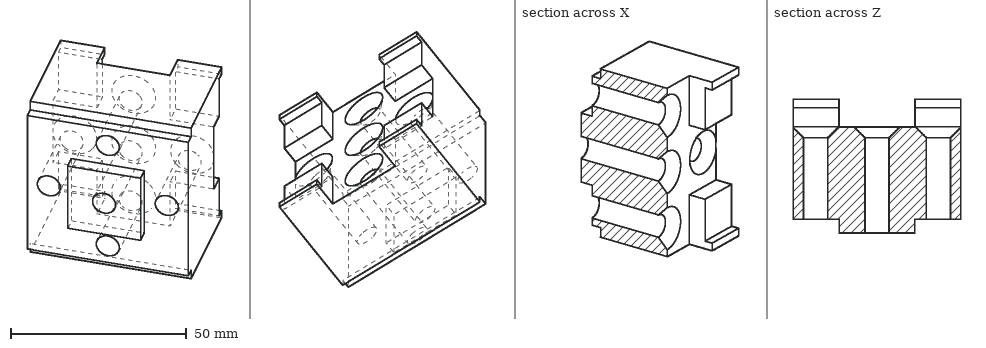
import cadquery as cq

width = 47.6
height = 52.4
overall_depth = 38.1
boss_size = 21.6
boss_depth = 3.9
block_depth = overall_depth - boss_depth

step_height = 3.0
step_depth = 2.9

lip_height = 2.4
recess_depth = 2.45
channel_width = boss_size
channel_depth = 7.9

hole_diameter = 6.8
hole_offset = 17.45
hole_centers = [(0, 0), (hole_offset, 0), (-hole_offset, 0), (0, hole_offset), (0, -hole_offset)]
countersink_diameter = 13.0


def box_from_front(size_x, size_z, front_y, back_y, center_z=0):
    """Box centred in X, spanning front_y to back_y."""
    depth = back_y - front_y
    return cq.Workplane("XY").box(size_x, depth, size_z).translate((0, front_y + depth / 2, center_z))


def add_boss(body):
    return body.union(box_from_front(boss_size, boss_size, -boss_depth, block_depth / 2))


def cut_front_steps(body):
    for side in (-1, 1):
        center_z = side * (height - step_height) / 2
        body = body.cut(box_from_front(width, step_height, 0, step_depth, center_z))
    return body


def cut_back(body):
    channel_floor = block_depth - channel_depth
    recess_floor = block_depth - recess_depth
    body = body.cut(box_from_front(width, height - 2 * lip_height, recess_floor, block_depth))
    body = body.cut(box_from_front(width, channel_width, channel_floor, block_depth))
    return body.cut(box_from_front(channel_width, height, channel_floor, block_depth))


def cut_holes(body):
    channel_floor = block_depth - channel_depth
    hole_radius = hole_diameter / 2
    countersink_radius = countersink_diameter / 2
    countersink_depth = countersink_radius - hole_radius
    hole = (
        cq.Workplane("XY")
        .moveTo(0, -boss_depth)
        .lineTo(hole_radius, -boss_depth)
        .lineTo(hole_radius, channel_floor - countersink_depth)
        .lineTo(countersink_radius, channel_floor)
        .lineTo(0, channel_floor)
        .close()
        .revolve(360, (0, 0), (0, 1))
    )
    for x, z in hole_centers:
        body = body.cut(hole.translate((x, 0, z)))
    return body


block = box_from_front(width, height, 0, block_depth)
result = cut_holes(cut_back(cut_front_steps(add_boss(block))))